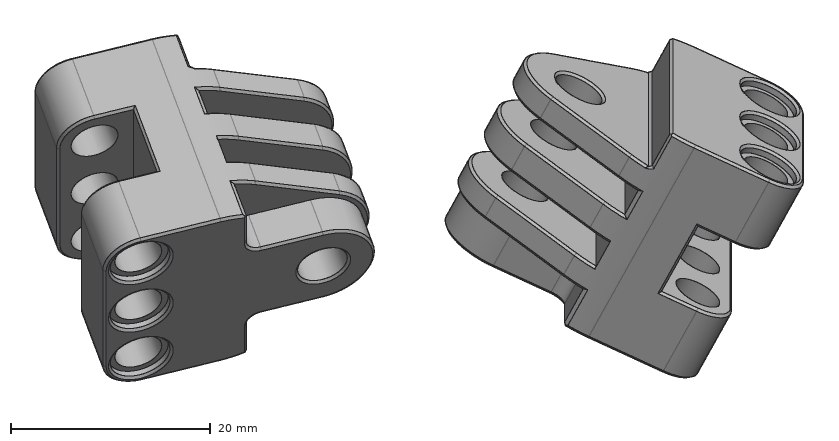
import cadquery as cq
import math

width = 23.8
length = 29.2
height = 23.8
edge_break = 0.25

rear_bevel_long = 0.38
rear_bevel_short = 0.23
web_end_break = 0.35

block_depth = 15.0
slot_width = 8.05
slot_depth = 7.97
shoulder_radius = 10.0
shoulder_start_y = 12.25

cross_hole_diameter = 4.9
cross_hole_pitch = 8.0
counterbore_diameter = 6.25
counterbore_depth = 0.88

lug_tip_radius = 6.22
pivot_diameter = 5.2
middle_lug_width = 3.4
outer_lug_width = 2.83
lug_gap = 2.98
lug_root_y = 11.68

boss_radius = 5.43
boss_root_radius = 1.5

half_width = width / 2
half_height = height / 2
front_radius = half_height - cross_hole_pitch
pivot_y = length - lug_tip_radius
middle_lug_x = middle_lug_width / 2
outer_lug_inner_x = middle_lug_x + lug_gap
outer_lug_outer_x = outer_lug_inner_x + outer_lug_width
over = 0.3

shoulder_z = half_height - shoulder_radius
center_distance = math.hypot(pivot_y - shoulder_start_y, shoulder_z)
flank_angle = math.asin((shoulder_radius - lug_tip_radius) / center_distance) + math.asin(
    shoulder_z / center_distance
)


def shoulder_point(angle):
    """Point on the upper shoulder arc, with the angle measured from +Z towards +Y."""
    y = shoulder_start_y + shoulder_radius * math.sin(angle)
    z = shoulder_z + shoulder_radius * math.cos(angle)
    return y, z


def shoulder_angle(y):
    """Angle at which the shoulder arc reaches a Y position."""
    return math.asin((y - shoulder_start_y) / shoulder_radius)


def mirrored(point):
    """Reflect a (y, z) point to the lower half."""
    return point[0], -point[1]


def extrude_x(outline, x_start, x_end):
    """Extrude a closed YZ outline between two X positions."""
    return outline.extrude(x_end - x_start).translate((x_start, 0, 0))


def cylinder_x(y, z, diameter, x_start, x_end):
    """Cylinder along X between two X positions."""
    return extrude_x(cq.Workplane("YZ").center(y, z).circle(diameter / 2), x_start, x_end)


def block_piece(x_start, x_end):
    """Block cross-section: rounded front corners and shoulders cut off by the rear face."""
    rear_angle = shoulder_angle(block_depth)
    rear_top = shoulder_point(rear_angle)
    shoulder_mid = shoulder_point(rear_angle / 2)
    outline = (
        cq.Workplane("YZ")
        .moveTo(0, front_radius - half_height)
        .lineTo(0, half_height - front_radius)
        .radiusArc((front_radius, half_height), front_radius)
        .lineTo(shoulder_start_y, half_height)
        .threePointArc(shoulder_mid, rear_top)
        .lineTo(*mirrored(rear_top))
        .threePointArc(mirrored(shoulder_mid), (shoulder_start_y, -half_height))
        .lineTo(front_radius, -half_height)
        .radiusArc((0, front_radius - half_height), front_radius)
        .close()
    )
    return extrude_x(outline, x_start, x_end)


def sharp_lug(x_start, x_end):
    """Tapered hinge lug, rooted inside the block, with sharp side outlines."""
    flank_start = shoulder_point(flank_angle)
    shoulder_mid = shoulder_point(flank_angle / 2)
    flank_end = (
        pivot_y + lug_tip_radius * math.sin(flank_angle),
        lug_tip_radius * math.cos(flank_angle),
    )
    outline = (
        cq.Workplane("YZ")
        .moveTo(lug_root_y, -half_height)
        .lineTo(lug_root_y, half_height)
        .lineTo(shoulder_start_y, half_height)
        .threePointArc(shoulder_mid, flank_start)
        .lineTo(*flank_end)
        .threePointArc((length, 0), mirrored(flank_end))
        .lineTo(*mirrored(flank_start))
        .threePointArc(mirrored(shoulder_mid), (shoulder_start_y, -half_height))
        .close()
    )
    return extrude_x(outline, x_start, x_end)


def lug(x_start, x_end):
    """Hinge lug with both side outlines broken."""
    return sharp_lug(x_start, x_end).faces("<X or >X").chamfer(edge_break)


def boss():
    """Round-ended boss that flares into the rear face of the block."""
    root_z = boss_radius + boss_root_radius
    flare_y = block_depth + boss_root_radius
    outline = (
        cq.Workplane("YZ")
        .moveTo(lug_root_y, -root_z)
        .lineTo(lug_root_y, root_z)
        .lineTo(block_depth, root_z)
        .radiusArc((flare_y, boss_radius), -boss_root_radius)
        .lineTo(pivot_y, boss_radius)
        .radiusArc((pivot_y, -boss_radius), boss_radius)
        .lineTo(flare_y, -boss_radius)
        .radiusArc((block_depth, -root_z), -boss_root_radius)
        .close()
    )
    return extrude_x(outline, outer_lug_outer_x - outer_lug_width / 2, half_width)


def body():
    """Slotted block with its boss and broken edges."""
    slot = cq.Workplane("XY").box(slot_width, 2 * slot_depth, height + over)
    solid = block_piece(-half_width, half_width).cut(slot).union(boss())
    side_edges = solid.faces("<X or >X").edges()
    slot_box = cq.selectors.BoxSelector(
        (-slot_width / 2 - over, -over, -over),
        (slot_width / 2 + over, slot_depth + over, over),
    )
    slot_edges = solid.faces(slot_box).edges()
    inner_corners = slot_edges.edges("|Z").edges(">Y")
    slot_rim = slot_edges.filter(lambda edge: edge not in inner_corners.vals())
    return solid.newObject(side_edges.vals() + slot_rim.vals()).chamfer(edge_break)


def rear_bevel(x_start, x_end, bevel_depth):
    """Cutter that bevels the top and bottom rear edges of the block over one stretch of X."""
    rear_y, rear_z = shoulder_point(shoulder_angle(block_depth))
    top_start = shoulder_point(shoulder_angle(block_depth - bevel_depth))
    upper = (
        cq.Workplane("YZ")
        .moveTo(*top_start)
        .lineTo(rear_y, rear_z - edge_break)
        .lineTo(rear_y + over, rear_z - edge_break)
        .lineTo(rear_y + over, half_height)
        .lineTo(top_start[0], half_height)
        .close()
    )
    cutter = extrude_x(upper, x_start, x_end)
    return cutter.union(cutter.mirror("XY"))


def corner_web():
    """45 degree web in the inner corner between the rear face and the -X lug, with broken ends."""
    corner_x = -outer_lug_outer_x
    reach = 3 * edge_break
    root_y = block_depth + edge_break - reach
    half_web = shoulder_point(shoulder_angle(root_y))[1]
    web = (
        cq.Workplane("XY", origin=(0, 0, -half_web))
        .moveTo(corner_x - reach, root_y)
        .lineTo(corner_x - edge_break + reach, block_depth + reach)
        .lineTo(corner_x - edge_break + reach, root_y)
        .close()
        .extrude(2 * half_web)
    )
    sloped_face = web.faces(cq.selectors.DirectionMinMaxSelector(cq.Vector(-1, 1, 0), True))
    web = sloped_face.edges("not |Z").chamfer(web_end_break)
    return web.intersect(sharp_lug(corner_x - reach, corner_x + reach))


def entry_flare(y, z, diameter, side):
    """Cone that breaks the mouth of a hole opening on the side face at X position `side`."""
    inward = -math.copysign(1, side)
    return cq.Workplane(cq.Solid.makeCone(
        diameter / 2 + edge_break,
        diameter / 2,
        edge_break,
        cq.Vector(side, y, z),
        cq.Vector(inward, 0, 0),
    ))


def cross_hole(z):
    """Hole through both arms, counterbored from each outer side."""
    y = front_radius
    cutter = cylinder_x(y, z, cross_hole_diameter, -half_width, half_width)
    for side in (-half_width, half_width):
        seat = side - math.copysign(counterbore_depth, side)
        cutter = cutter.union(cylinder_x(y, z, counterbore_diameter, side, seat))
        cutter = cutter.union(entry_flare(y, z, counterbore_diameter, side))
    return cutter


def pivot_hole():
    """Pivot bore through the lugs and the boss, with both mouths broken."""
    bore = cylinder_x(pivot_y, 0, pivot_diameter, -outer_lug_outer_x, half_width)
    for side in (-outer_lug_outer_x, half_width):
        bore = bore.union(entry_flare(pivot_y, 0, pivot_diameter, side))
    return bore


result = body()

result = result.cut(rear_bevel(-half_width, edge_break - outer_lug_outer_x, rear_bevel_short))
result = result.cut(
    rear_bevel(-outer_lug_inner_x - edge_break, edge_break - middle_lug_x, rear_bevel_long)
)
result = result.cut(rear_bevel(outer_lug_outer_x - edge_break, half_width, rear_bevel_long))

for x_start, x_end in (
    (-outer_lug_outer_x, -outer_lug_inner_x),
    (-middle_lug_x, middle_lug_x),
    (outer_lug_inner_x, outer_lug_outer_x),
):
    result = result.union(lug(x_start, x_end))

result = result.union(corner_web())

for row in (-1, 0, 1):
    result = result.cut(cross_hole(row * cross_hole_pitch))

result = result.cut(pivot_hole())